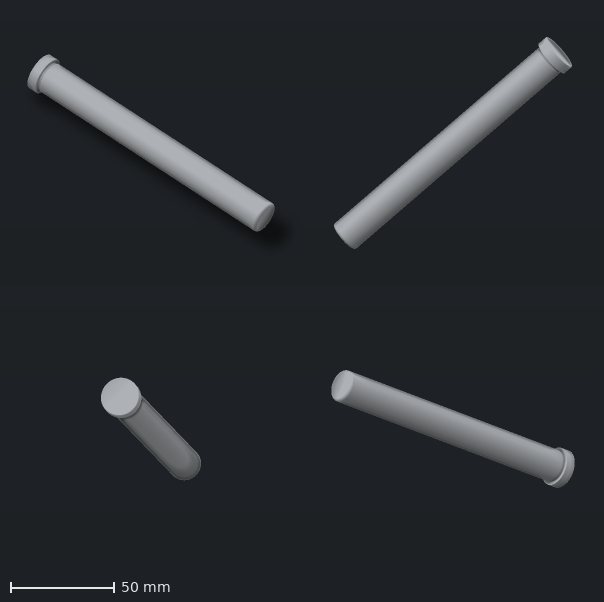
import cadquery as cq

total_length = 140.0
head_diameter = 19.0
head_length = 5.0
head_chamfer = 0.3
shaft_diameter = 16.0
tip_fillet_radius = 1.5

groove_length = 1.5
groove_depth = 0.3
groove_ramp_length = 0.2

head_radius = head_diameter / 2
shaft_radius = shaft_diameter / 2
groove_radius = shaft_radius - groove_depth
groove_end = head_length + groove_length
tip_face_radius = shaft_radius - tip_fillet_radius
tip_start = total_length - tip_fillet_radius


def pin_profile():
    """Half section of the pin, between the axis and the outer surface."""
    return (
        cq.Workplane("XZ")
        .moveTo(0, 0)
        .lineTo(0, head_radius - head_chamfer)
        .lineTo(head_chamfer, head_radius)
        .lineTo(head_length, head_radius)
        .lineTo(head_length, groove_radius)
        .lineTo(groove_end - groove_ramp_length, groove_radius)
        .lineTo(groove_end, shaft_radius)
        .lineTo(tip_start, shaft_radius)
        .tangentArcPoint((total_length, tip_face_radius), relative=False)
        .lineTo(total_length, 0)
        .close()
    )


result = pin_profile().revolve(360, (0, 0, 0), (1, 0, 0))